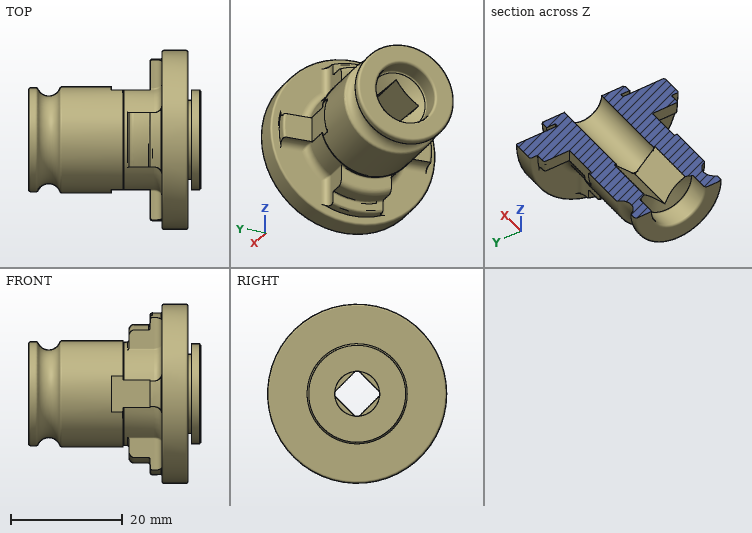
import cadquery as cq
import math

groove_mid_x = 3.6
flat_start_x = 14.8
body_end_x = 16.85
crown_start_x = 17.92
lug_start_x = 21.7
flange_start_x = 23.8
flange_end_x = 28.48
plate_start_x = 29.05
total_length = 30.8

lip_radius = 18.65 / 2
body_radius = 19.0 / 2
neck_radius = 18.5 / 2
crown_radius = 12.4
lug_radius = 14.45
flange_radius = 16.0
relief_radius = 14.2 / 2
plate_radius = 17.9 / 2

groove_floor_radius = 7.85
groove_arc_radius = 2.1

crown_half_width = 4.85
side_lug_half_width = 2.3
flat_distance = plate_radius

lip_fillet = 0.48
groove_edge_fillet = 0.48
body_end_fillet = 0.08
neck_fillet = 0.15
crown_front_fillet = 1.0
crown_step_fillet = 0.32
lug_front_fillet = 0.45
lug_side_fillet = 0.3
rim_root_fillet = 0.13
base_fillet = 1.35
flange_fillet = 0.4
plate_chamfer = 0.3

bore_radius = 11.4 / 2
bore_depth = 4.0
bore_mouth_fillet = 0.48
bore_floor_fillet = 0.3
cone_depth = 2.4
square_half_diagonal = 4.35
square_end_x = 14.08
shank_hole_radius = 8 / 2

reach = 2 * flange_radius
margin = 0.32
tolerance = 0.003


def disc(start_x, end_x, radius):
    """Solid cylinder on the X axis."""
    return cq.Workplane("YZ", origin=(start_x, 0, 0)).circle(radius).extrude(end_x - start_x)


def x_bar(start_x, end_x, size_y, size_z):
    """Rectangular bar centred on the X axis."""
    return cq.Workplane("YZ", origin=(start_x, 0, 0)).rect(size_y, size_z).extrude(end_x - start_x)


def edges_between(start_x, end_x, half_size):
    """Selector for edges whose centres lie in a box around the X axis."""
    return cq.selectors.BoxSelector((start_x, -half_size, -half_size), (end_x, half_size, half_size))


def fillet_ring(solid, x, radius, fillet_radius):
    """Fillet the circular edge of the given radius in the plane at x."""
    in_plane = solid.edges("%CIRCLE").edges(edges_between(x - tolerance, x + tolerance, reach))
    ring = in_plane.filter(lambda edge: abs(edge.radius() - radius) < tolerance)
    return ring.fillet(fillet_radius)


def make_shank():
    """Lip, rounded groove and body, with a filleted step down to the neck."""
    lip = disc(0, groove_mid_x, lip_radius).faces("<X").edges().fillet(lip_fillet)
    body = disc(groove_mid_x, body_end_x, body_radius)
    groove_center_radius = groove_floor_radius + groove_arc_radius
    groove = (
        cq.Workplane("XY", origin=(groove_mid_x, 0, 0))
        .center(0, groove_center_radius)
        .circle(groove_arc_radius)
        .revolve(360, (0, -groove_center_radius, 0), (1, -groove_center_radius, 0))
    )
    shank = lip.union(body).cut(groove)
    groove_rims = cq.selectors.BoxSelector(
        (groove_mid_x - groove_arc_radius, -reach, -reach),
        (groove_mid_x + groove_arc_radius, reach, reach),
        boundingbox=True,
    )
    shank = shank.edges(groove_rims).edges("%CIRCLE").fillet(groove_edge_fillet)
    shank = shank.union(disc(flat_start_x, crown_start_x, neck_radius))
    shank = fillet_ring(shank, body_end_x, body_radius, body_end_fillet)
    return fillet_ring(shank, body_end_x, neck_radius, neck_fillet)


def make_root_envelope():
    """Turned outline that trims the lugs: neck, crown step, lug rim and flange."""
    crown = disc(crown_start_x, flange_start_x, crown_radius).faces("<X").edges().fillet(crown_front_fillet)
    rim = disc(lug_start_x, flange_start_x, lug_radius).faces("<X").edges().fillet(lug_front_fillet)
    flange = disc(flange_start_x, flange_end_x, flange_radius).edges("%CIRCLE").fillet(flange_fillet)
    envelope = crown.union(rim).union(flange)
    envelope = fillet_ring(envelope, lug_start_x, crown_radius, crown_step_fillet)
    envelope = fillet_ring(envelope, flange_start_x, lug_radius, rim_root_fillet)
    return envelope.union(disc(body_end_x, crown_start_x, crown_radius - crown_front_fillet))


def make_lugged_flange():
    """Neck, two crown lugs along Z and two side lugs along Y, blended into the flange."""
    neck = disc(body_end_x, flange_start_x, neck_radius)
    crown_lugs = x_bar(crown_start_x, flange_start_x, 2 * crown_half_width, 2 * reach)
    side_lugs = x_bar(lug_start_x, flange_start_x, 2 * reach, 2 * side_lug_half_width)
    flat_ribs = x_bar(body_end_x, flange_start_x, 2 * body_radius, 2 * side_lug_half_width)
    blank = neck.union(crown_lugs).union(side_lugs.union(flat_ribs))
    lug_roots = edges_between(body_end_x + margin, flange_start_x - margin, neck_radius)
    blank = blank.edges(lug_roots).fillet(lug_side_fillet)

    backing_size = 2 * (reach + 2 * base_fillet)
    blank = blank.union(x_bar(flange_start_x, flange_end_x, backing_size, backing_size))
    base_edges = edges_between(flange_start_x - tolerance, flange_start_x + tolerance, reach + tolerance)
    blank = blank.edges(base_edges).fillet(base_fillet)
    return blank.intersect(make_root_envelope())


def make_tail():
    """Relief neck and chamfered end plate behind the flange."""
    relief = disc(flange_end_x, plate_start_x, relief_radius)
    plate = disc(plate_start_x, total_length, plate_radius).faces(">X").edges().chamfer(plate_chamfer)
    return relief.union(plate)


def make_flat_cutter():
    """Material outside the two flats, from the body to the front of the side lugs."""
    outside = x_bar(flat_start_x, lug_start_x, 2 * reach, 2 * crown_half_width)
    return outside.cut(x_bar(flat_start_x, lug_start_x, 2 * flat_distance, 2 * crown_half_width))


def make_cavity():
    """Bore with a conical floor, square drive set on its corners, and shank hole."""
    bore = disc(0, bore_depth, bore_radius).faces(">X").edges().fillet(bore_floor_fillet)
    cone = (
        cq.Workplane("XY")
        .moveTo(bore_depth, 0)
        .lineTo(bore_depth, bore_radius - bore_floor_fillet)
        .lineTo(bore_depth + cone_depth, 0)
        .close()
        .revolve(360, (0, 0, 0), (1, 0, 0))
    )
    square_side = math.sqrt(2) * square_half_diagonal
    square = x_bar(bore_depth, square_end_x, square_side, square_side).rotate((0, 0, 0), (1, 0, 0), 45)
    shank_hole = disc(square_end_x, total_length, shank_hole_radius)
    return bore.union(cone).union(square).union(shank_hole)


adapter = make_shank().union(make_lugged_flange()).union(make_tail())
adapter = adapter.cut(make_flat_cutter()).cut(make_cavity())
result = fillet_ring(adapter, 0, bore_radius, bore_mouth_fillet)